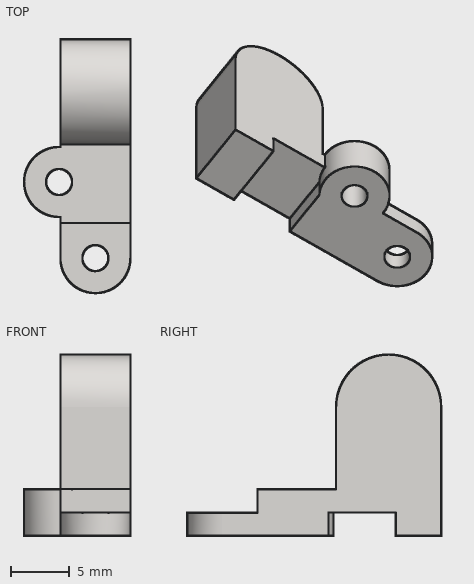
import cadquery as cq

width = 6.0
dome_depth = 9.0
total_height = 15.5
total_length = 21.7
base_height = 4.0
ear_height = 2.0
lug_overhang = 0.1
hole_diameter = 2.2
step_to_ear_hole = 3.0
lug_hole_to_step = 3.5
foot_length = 3.9
notch_length = 5.75
notch_height = 2.0

dome_radius = dome_depth / 2
end_radius = width / 2

ear_x = width / 2
ear_y = end_radius - total_length
step_y = ear_y + step_to_ear_hole
lug_x = -lug_overhang
lug_y = step_y + lug_hole_to_step
notch_front_y = -(foot_length + notch_length)


def block(x_left, x_right, y_front, y_back, height):
    """Rectangular block standing on Z = 0."""
    return (
        cq.Workplane("XY")
        .box(x_right - x_left, y_back - y_front, height, centered=False)
        .translate((x_left, y_front, 0))
    )


def upright_cylinder(x, y, radius, height):
    """Vertical cylinder standing on Z = 0."""
    return cq.Workplane("XY").center(x, y).circle(radius).extrude(height)


def domed_block():
    """Tall block with a half-round top running along X."""
    spring_height = total_height - dome_radius
    return (
        cq.Workplane("YZ")
        .lineTo(0, spring_height)
        .threePointArc((-dome_radius, total_height), (-dome_depth, spring_height))
        .lineTo(-dome_depth, 0)
        .close()
        .extrude(width)
    )


def base():
    """Low block between the domed block and the ear."""
    return block(0, width, step_y, -dome_depth, base_height)


def end_ear():
    """Thin plate with a round front end."""
    plate = block(0, width, ear_y, step_y, ear_height)
    return plate.union(upright_cylinder(ear_x, ear_y, end_radius, ear_height))


def lug_web():
    """Thin fill between the lug centre and the body side."""
    return block(lug_x, 0, lug_y - end_radius, lug_y + end_radius, base_height)


def side_lug():
    """Round lug on the side of the base."""
    return upright_cylinder(lug_x, lug_y, end_radius, base_height)


def notch():
    """Slot across the underside, cutting the lug web as well as the body."""
    return block(lug_x, width, notch_front_y, -foot_length, notch_height)


body = domed_block().union(base()).union(end_ear()).union(lug_web())
body = body.cut(notch())

body = body.union(side_lug())

for hole_x, hole_y in ((lug_x, lug_y), (ear_x, ear_y)):
    body = body.cut(upright_cylinder(hole_x, hole_y, hole_diameter / 2, base_height))

result = body